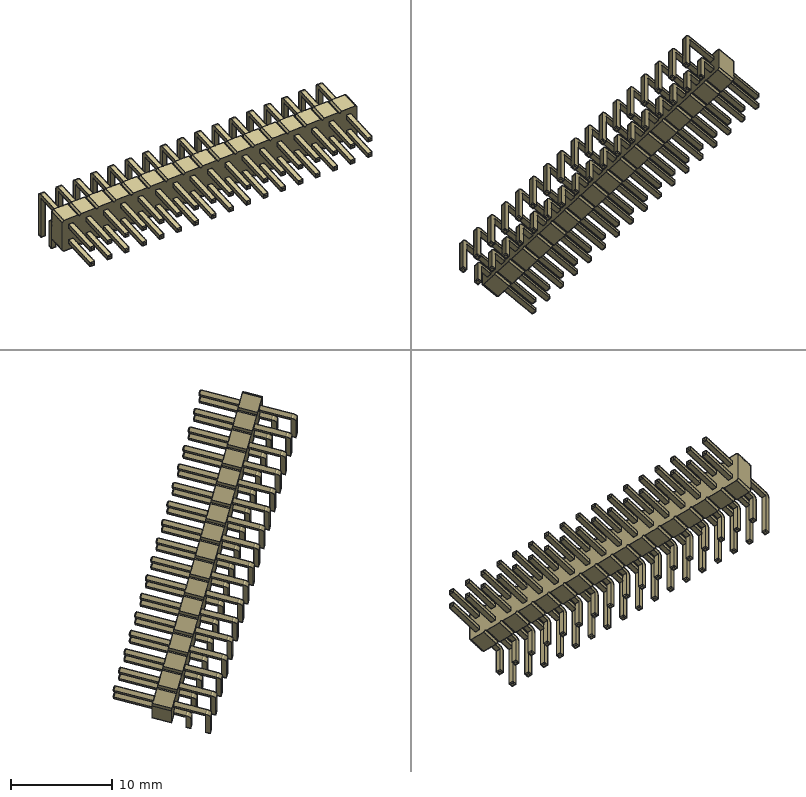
import cadquery as cq

cell_count = 17
housing_length = 34.0
pitch = housing_length / cell_count
row_count = 2
housing_width = pitch
housing_height = row_count * pitch
cell_chamfer = 0.2

pin_size = 0.5
bend_radius = pin_size
tip_chamfer = 0.1
overall_width = 9.95
overall_height = 6.4
tail_reach = 3.77

tail_x = -housing_width / 2 - tail_reach
contact_x = tail_x + overall_width
tail_bottom_z = housing_height / 2 - overall_height


def make_cell():
    """One housing cell, bevelled along its four X edges."""
    cell = cq.Workplane("XY").box(housing_width, pitch, housing_height)
    return cell.edges("|X").chamfer(cell_chamfer)


def make_pin(row):
    """Right-angle pin of a row, counted from the top; lower rows nest inside the upper bend."""
    outer_x = tail_x + row * pitch
    top_z = housing_height / 2 - (row + 0.5) * pitch + pin_size / 2
    pin = (
        cq.Workplane("XZ")
        .moveTo(outer_x, tail_bottom_z)
        .lineTo(outer_x, top_z - bend_radius)
        .radiusArc((outer_x + bend_radius, top_z), bend_radius)
        .lineTo(contact_x, top_z)
        .lineTo(contact_x, top_z - pin_size)
        .lineTo(outer_x + pin_size, top_z - pin_size)
        .lineTo(outer_x + pin_size, tail_bottom_z)
        .close()
        .extrude(pin_size / 2, both=True)
    )
    return pin.faces(">X or <Z").chamfer(tip_chamfer)


cell = make_cell()
for row in range(row_count):
    cell = cell.union(make_pin(row))

result = cq.Workplane("XY")
for index in range(cell_count):
    cell_y = (index - (cell_count - 1) / 2) * pitch
    result = result.union(cell.translate((0, cell_y, 0)))